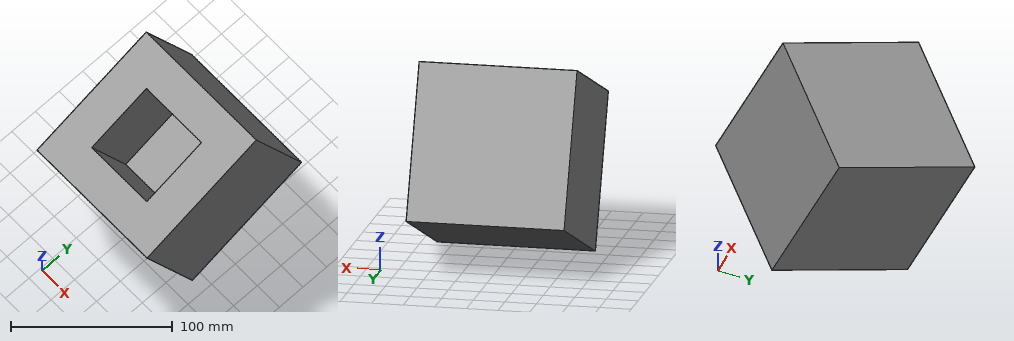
import cadquery as cq
import math

overall_span = 130.7
tilt_deg = 22.5
tilt = math.radians(tilt_deg)
side = overall_span / (math.cos(tilt) + math.sin(tilt))

pocket_width = side / 2
pocket_depth = side * 3 / 4

block = cq.Workplane("XY").box(side, side, side)
pocketed_block = block.faces(">Z").workplane().rect(pocket_width, pocket_width).cutBlind(-pocket_depth)

result = pocketed_block.rotate((0, 0, 0), (1, 0, 0), tilt_deg)